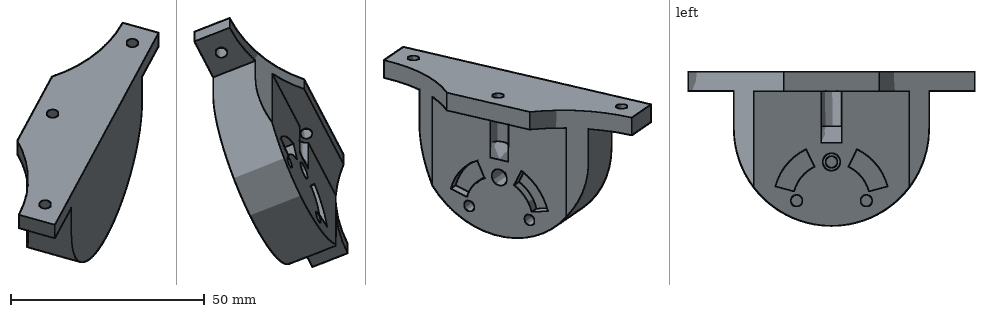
import cadquery as cq
import math

depth = 20.0
length = 74.04
height = 39.84

flange_thickness = 5.0
flange_end_depth = 10.0
flange_curve_radius = 35.4
flange_hole_diameter = 3.0
flange_end_hole_y = 31.1
flange_end_hole_x = depth - 5.0
flange_front_hole_x = 5.0

body_radius = 25.25
body_front_x = 5.65
body_center_z = body_radius - height

channel_radius = 5.5 / 2
channel_straight_end_z = -14.1
channel_slope_middle_z = -16.0
channel_bottom_z = -18.3
channel_middle_depth = 0.7
channel_bottom_depth = 0.05

pilot_diameter = 3.0
pilot_depth = 10.0
counterbore_diameter = 4.5
counterbore_depth = 6.0
pivot_z = -23.3
side_hole_diameter = 3.0
side_hole_depth = 6.0
side_hole_y = 9.0
side_hole_z = pivot_z - 10.0
slot_center_z = -33.5
slot_inner_radius = 10.0
slot_outer_radius = 15.0
slot_start_angle = 15.0
slot_end_angle = 64.0
slot_depth = 2.5


def make_plan():
    """Flange outline, extruded through the full height."""
    end_y = length / 2
    arc_center_x = flange_end_depth - flange_curve_radius
    front_y = end_y - math.sqrt(flange_curve_radius**2 - arc_center_x**2)
    half_sweep = math.acos(-arc_center_x / flange_curve_radius) / 2
    arc_mid_x = arc_center_x + flange_curve_radius * math.cos(half_sweep)
    arc_mid_y = end_y - flange_curve_radius * math.sin(half_sweep)
    return (
        cq.Workplane("XY")
        .moveTo(depth, -end_y)
        .lineTo(depth, end_y)
        .lineTo(flange_end_depth, end_y)
        .threePointArc((arc_mid_x, arc_mid_y), (0, front_y))
        .lineTo(0, -front_y)
        .threePointArc((arc_mid_x, -arc_mid_y), (flange_end_depth, -end_y))
        .close()
        .extrude(-height)
    )


def make_side_profile():
    """Flange strip and U-shaped body, extruded along X."""
    flange = cq.Workplane("XY").box(depth, length, flange_thickness, centered=(False, True, False))
    flange = flange.translate((0, 0, -flange_thickness))
    body = (
        cq.Workplane("YZ", origin=(body_front_x, 0, 0))
        .moveTo(-body_radius, 0)
        .lineTo(-body_radius, body_center_z)
        .threePointArc((0, -height), (body_radius, body_center_z))
        .lineTo(body_radius, 0)
        .close()
        .extrude(depth - body_front_x)
    )
    return flange.union(body)


def make_channel():
    """Round channel whose lower end slopes out to the front face of the body."""
    straight = (
        cq.Workplane("XY", origin=(flange_front_hole_x, 0, -flange_thickness))
        .circle(channel_radius)
        .extrude(channel_straight_end_z + flange_thickness)
    )
    center_offset = body_front_x - flange_front_hole_x
    half_width = math.sqrt(channel_radius**2 - center_offset**2)
    sections = (
        (channel_straight_end_z, channel_radius - center_offset),
        (channel_slope_middle_z, channel_middle_depth),
        (channel_bottom_z, channel_bottom_depth),
    )
    wires = []
    for z, section_depth in sections:
        section = (
            cq.Workplane("XY", origin=(body_front_x, 0, z))
            .moveTo(0, -half_width)
            .threePointArc((section_depth, 0), (0, half_width))
            .close()
        )
        wires.append(section.wire().val())
    slope = cq.Workplane(obj=cq.Solid.makeLoft(wires))
    return straight.union(slope)


def make_front_hole(y, z, diameter, hole_depth):
    """Cutter for a blind hole in the front face of the body."""
    return cq.Workplane("YZ", origin=(body_front_x, y, z)).circle(diameter / 2).extrude(hole_depth)


def polar_point(radius, angle):
    """Point at the given radius and angle in degrees."""
    radians = math.radians(angle)
    return (radius * math.cos(radians), radius * math.sin(radians))


def make_slot():
    """Cutter for the arc slot on the +Y side."""
    middle_angle = (slot_start_angle + slot_end_angle) / 2
    return (
        cq.Workplane("YZ", origin=(body_front_x, 0, slot_center_z))
        .moveTo(*polar_point(slot_inner_radius, slot_start_angle))
        .lineTo(*polar_point(slot_outer_radius, slot_start_angle))
        .threePointArc(
            polar_point(slot_outer_radius, middle_angle),
            polar_point(slot_outer_radius, slot_end_angle),
        )
        .lineTo(*polar_point(slot_inner_radius, slot_end_angle))
        .threePointArc(
            polar_point(slot_inner_radius, middle_angle),
            polar_point(slot_inner_radius, slot_start_angle),
        )
        .close()
        .extrude(slot_depth)
    )


def make_flange_holes():
    """Cutters for the three vertical screw holes."""
    positions = [
        (flange_end_hole_x, flange_end_hole_y),
        (flange_end_hole_x, -flange_end_hole_y),
        (flange_front_hole_x, 0),
    ]
    return (
        cq.Workplane("XY")
        .pushPoints(positions)
        .circle(flange_hole_diameter / 2)
        .extrude(-flange_thickness)
    )


result = make_plan().intersect(make_side_profile())
result = result.cut(make_flange_holes())
result = result.cut(make_channel())

result = result.cut(make_front_hole(0, pivot_z, counterbore_diameter, counterbore_depth))
result = result.cut(make_front_hole(0, pivot_z, pilot_diameter, pilot_depth))
for side in (-1, 1):
    side_hole = make_front_hole(side * side_hole_y, side_hole_z, side_hole_diameter, side_hole_depth)
    result = result.cut(side_hole)

slot = make_slot()
result = result.cut(slot).cut(slot.mirror("XZ"))